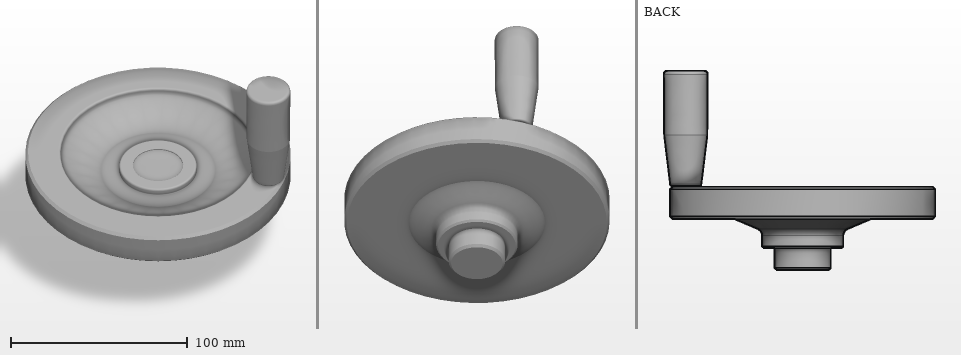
import cadquery as cq
import math

overall_height = 112.7
rim_radius = 150.0 / 2
rim_bottom = 28.9
rim_top = 47.3
rim_chamfer = 1.5

hub_radius = 32.0 / 2
hub_chamfer = 1.4
collar_radius = 46.0 / 2
collar_bottom = 12.5
collar_chamfer = 1.0
collar_fillet_start = 19.6
collar_fillet = 4.0

dish_radius = 110.0 / 2
dish_edge_round = 1.4
dish_wall_bottom = 45.3
dish_wall_fillet = 2.3
floor_height = 34.0
floor_fillet = 1.4

cone_angle = 23

boss_radius = 43.7 / 2
boss_top = 37.9
boss_round = 1.2
boss_base_fillet = 0.5
recess_radius = 28.0 / 2
recess_edge_chamfer = 0.3
recess_depth = 0.9

handle_radius = 12.5
overall_length = 153.5
handle_x = overall_length - rim_radius - handle_radius
handle_bottom = 47.6
handle_waist_radius = 12.3
handle_waist_height = 76.5
handle_foot_radius = 8.9
handle_foot_round = 1.2
handle_top_round = 1.8
neck_radius = 13.2 / 2
neck_embed = 1.5

cone_slope = math.tan(math.radians(cone_angle))


def arc_points(center, radius, start_angle, end_angle):
    """Middle and end points of an arc in the (radius, height) profile; angles in degrees."""
    return [
        (
            center[0] + radius * math.cos(math.radians(angle)),
            center[1] + radius * math.sin(math.radians(angle)),
        )
        for angle in ((start_angle + end_angle) / 2, end_angle)
    ]


def revolve_about_z(profile):
    return profile.close().revolve(360, (0, 0, 0), (0, 1, 0))


def make_wheel():
    collar_arc = arc_points(
        (collar_radius + collar_fillet, collar_fillet_start), collar_fillet, 180, 90 + cone_angle
    )
    cone_start_radius, cone_start_height = collar_arc[-1]
    cone_outer_radius = cone_start_radius + (rim_bottom - cone_start_height) / cone_slope

    dish_edge_radius = dish_radius + dish_edge_round
    dish_edge_arc = arc_points(
        (dish_edge_radius, rim_top - dish_edge_round), dish_edge_round, 90, 180
    )
    dish_wall_arc = arc_points(
        (dish_radius - dish_wall_fillet, dish_wall_bottom), dish_wall_fillet, 0, cone_angle - 90
    )
    cone_top_radius, cone_top_height = dish_wall_arc[-1]
    floor_corner_radius = cone_top_radius - (cone_top_height - floor_height) / cone_slope
    floor_radius = floor_corner_radius - floor_fillet * math.tan(math.radians(cone_angle / 2))
    floor_fillet_center = (floor_radius, floor_height + floor_fillet)
    floor_arc = arc_points(floor_fillet_center, floor_fillet, cone_angle - 90, -90)
    floor_arc_start = arc_points(floor_fillet_center, floor_fillet, -90, cone_angle - 90)[-1]

    boss_base_radius = boss_radius + boss_base_fillet
    boss_base_arc = arc_points(
        (boss_base_radius, floor_height + boss_base_fillet), boss_base_fillet, 270, 180
    )
    boss_top_arc = arc_points((boss_radius - boss_round, boss_top - boss_round), boss_round, 0, 90)

    profile = (
        cq.Workplane("XZ")
        .moveTo(0, 0)
        .lineTo(hub_radius - hub_chamfer, 0)
        .lineTo(hub_radius, hub_chamfer)
        .lineTo(hub_radius, collar_bottom)
        .lineTo(collar_radius - collar_chamfer, collar_bottom)
        .lineTo(collar_radius, collar_bottom + collar_chamfer)
        .lineTo(collar_radius, collar_fillet_start)
        .threePointArc(*collar_arc)
        .lineTo(cone_outer_radius, rim_bottom)
        .lineTo(rim_radius - rim_chamfer, rim_bottom)
        .lineTo(rim_radius, rim_bottom + rim_chamfer)
        .lineTo(rim_radius, rim_top - rim_chamfer)
        .lineTo(rim_radius - rim_chamfer, rim_top)
        .lineTo(dish_edge_radius, rim_top)
        .threePointArc(*dish_edge_arc)
        .lineTo(dish_radius, dish_wall_bottom)
        .threePointArc(*dish_wall_arc)
        .lineTo(*floor_arc_start)
        .threePointArc(*floor_arc)
        .lineTo(boss_base_radius, floor_height)
        .threePointArc(*boss_base_arc)
        .lineTo(boss_radius, boss_top - boss_round)
        .threePointArc(*boss_top_arc)
        .lineTo(recess_radius + recess_edge_chamfer, boss_top)
        .lineTo(recess_radius, boss_top - recess_edge_chamfer)
        .lineTo(recess_radius, boss_top - recess_depth)
        .lineTo(0, boss_top - recess_depth)
    )
    return revolve_about_z(profile)


def make_handle():
    foot_flat_radius = handle_foot_radius - handle_foot_round
    foot_round_top = handle_bottom + handle_foot_round
    foot_arc = arc_points((foot_flat_radius, foot_round_top), handle_foot_round, -90, 0)
    top_flat_radius = handle_radius - handle_top_round
    top_round_bottom = overall_height - handle_top_round
    top_arc = arc_points((top_flat_radius, top_round_bottom), handle_top_round, 0, 90)
    neck_bottom = rim_top - neck_embed

    profile = (
        cq.Workplane("XZ")
        .moveTo(0, neck_bottom)
        .lineTo(neck_radius, neck_bottom)
        .lineTo(neck_radius, handle_bottom)
        .lineTo(foot_flat_radius, handle_bottom)
        .threePointArc(*foot_arc)
        .lineTo(handle_waist_radius, handle_waist_height)
        .lineTo(handle_radius, top_round_bottom)
        .threePointArc(*top_arc)
        .lineTo(0, overall_height)
    )
    return revolve_about_z(profile).translate((handle_x, 0, 0))


result = make_wheel().union(make_handle())